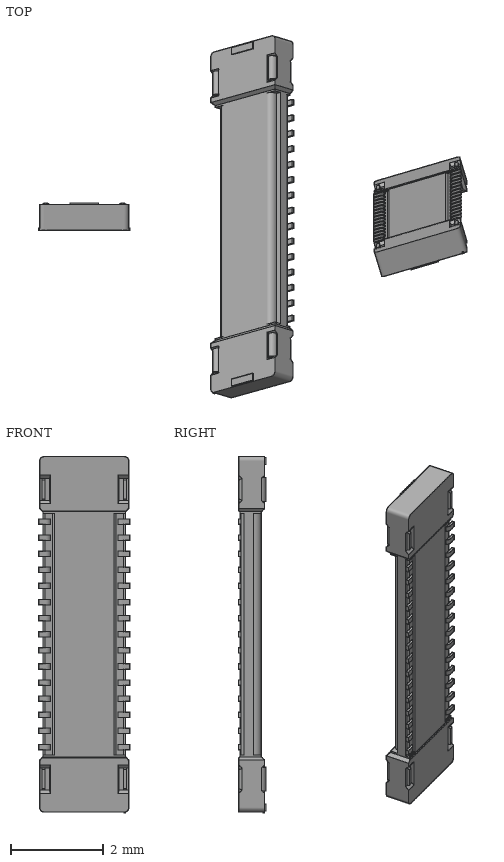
import cadquery as cq
import math


head_half_width = 0.97
head_depth = 0.565
head_length = 1.2
head_outer_z = 3.865
head_corner_radius = 0.1
head_chamfer = 0.07
head_front_chamfer = 0.02
head_inner_z = head_outer_z - head_length

bar_half_width = 0.9
bar_front_y = 0.025
bar_back_y = head_depth - head_chamfer
end_web_length = 0.04
bar_profile_half_length = head_inner_z - end_web_length
rib_half_width = 0.643
rib_flank_width = 0.043
floor_y = 0.05
floor_half_width = 0.85
ledge_y = 0.115
side_back_y = 0.327
back_half_width = 0.79
back_radius = 0.127

lead_rows = 15
lead_pitch = 0.35
lead_width = 0.12
lead_proud = 0.005
lead_tip_x = 0.99
lead_bend_x = 0.83
lead_inner_x = 0.735

pocket_depth = 0.073
pocket_length = 0.62
pocket_inner_x = 0.735
pocket_wall_draft = 0.02
pocket_from_end = 0.717
pocket_floor_length = pocket_length - 2 * pocket_depth

ridge_x = 0.888
ridge_width = 0.07
ridge_height = 0.065
ridge_taper = 0.03
clip_x = 0.835
clip_proud = 0.03
clip_length = 0.525
clip_radius = pocket_depth + clip_proud

plate_half_width = 0.315
plate_length = 0.16
plate_from_end = 0.02

nub_size = 0.04
nub_x = 0.88
nub_proud = 0.02


def box(x0, x1, y0, y1, z0, z1):
    """Axis-aligned box between opposite corners."""
    return cq.Workplane("XY").box(x1 - x0, y1 - y0, z1 - z0, centered=False).translate((x0, y0, z0))


def mirrored(shape, plane):
    """The shape together with its mirror image."""
    return shape.union(shape.mirror(plane))


def along_z(outline, half_length):
    """Extrude an XY outline evenly to both sides of z = 0."""
    return outline.extrude(half_length, both=True)


def make_head():
    """Upper head: rounded outer corners, chamfered sides, back and front towards the bar."""
    head = box(-head_half_width, head_half_width, 0, head_depth, head_inner_z, head_outer_z)
    head = head.edges("|Y and >Z").fillet(head_corner_radius)
    head = head.faces("<Z").edges("not <Y").chamfer(head_chamfer)
    return head.faces("<Z").edges("<Y").chamfer(head_front_chamfer)


def make_pocket():
    """Front pocket at +X, centred on z = 0: sloped ends, drafted inner wall, open to the side."""
    half = pocket_length / 2
    floor_half = pocket_floor_length / 2
    lengthwise = (
        cq.Workplane("YZ")
        .polyline([(0, -half), (pocket_depth, -floor_half), (pocket_depth, floor_half), (0, half)])
        .close()
        .extrude(head_half_width)
    )
    crosswise = along_z(
        cq.Workplane("XY")
        .moveTo(pocket_inner_x, 0)
        .lineTo(head_half_width, 0)
        .lineTo(head_half_width, pocket_depth)
        .lineTo(pocket_inner_x + pocket_wall_draft, pocket_depth)
        .close(),
        half,
    )
    return lengthwise.intersect(crosswise)


def make_ridge():
    """Ridge with sloped ends standing on the floor of the front pocket."""
    half = pocket_floor_length / 2
    top_half = half - ridge_taper
    top_y = pocket_depth - ridge_height
    return (
        cq.Workplane("YZ", origin=(ridge_x - ridge_width / 2, 0, 0))
        .polyline([(pocket_depth, -half), (top_y, -top_half), (top_y, top_half), (pocket_depth, half)])
        .close()
        .extrude(ridge_width)
    )


def make_clip():
    """Round clip lying along the floor of the back pocket."""
    circle = cq.Workplane("XY").center(clip_x, head_depth - pocket_depth).circle(clip_radius)
    return along_z(circle, clip_length / 2)


def make_head_with_clips():
    """Upper head with its four pockets, their clips and the raised back bar."""
    pocket_shift = (0, 0, head_outer_z - pocket_from_end)
    front_pocket = make_pocket()
    back_pocket = front_pocket.mirror("XZ").translate((0, head_depth, 0))
    pockets = mirrored(front_pocket.union(back_pocket), "YZ").translate(pocket_shift)
    clips = mirrored(make_ridge().union(make_clip()), "YZ").translate(pocket_shift)
    plate_top = head_outer_z - plate_from_end
    plate = box(
        -plate_half_width, plate_half_width,
        bar_back_y, head_depth + clip_proud,
        plate_top - plate_length, plate_top,
    )
    return make_head().cut(pockets).union(clips).union(plate)


def make_bar():
    """Stepped bar with a raised front rib and rounded back, closed by a plain web at each end."""
    arc_point = back_radius * (1 - math.sqrt(0.5))
    half_bar = along_z(
        cq.Workplane("XY")
        .moveTo(0, bar_front_y)
        .lineTo(rib_half_width, bar_front_y)
        .lineTo(rib_half_width + rib_flank_width, floor_y)
        .lineTo(floor_half_width, floor_y)
        .lineTo(floor_half_width, ledge_y)
        .lineTo(bar_half_width, ledge_y)
        .lineTo(bar_half_width, side_back_y)
        .lineTo(back_half_width, side_back_y)
        .lineTo(back_half_width, bar_back_y - back_radius)
        .threePointArc(
            (back_half_width - arc_point, bar_back_y - arc_point),
            (back_half_width - back_radius, bar_back_y),
        )
        .lineTo(0, bar_back_y)
        .close(),
        bar_profile_half_length,
    )
    web = box(
        -bar_half_width, bar_half_width, bar_front_y, bar_back_y, bar_profile_half_length, head_inner_z
    )
    return mirrored(half_bar, "YZ").union(mirrored(web, "XY"))


def make_leads():
    """Two rows of flat leads whose inner ends curve down to the bar floor."""
    lead = along_z(
        cq.Workplane("XY")
        .moveTo(lead_inner_x, floor_y)
        .lineTo(lead_tip_x, floor_y)
        .lineTo(lead_tip_x, -lead_proud)
        .lineTo(lead_bend_x, -lead_proud)
        .tangentArcPoint((lead_inner_x, floor_y), relative=False)
        .close(),
        lead_width / 2,
    )
    pair = mirrored(lead, "YZ")
    leads = cq.Workplane("XY")
    for row in range(lead_rows):
        z = (row - (lead_rows - 1) / 2) * lead_pitch
        leads = leads.add(pair.translate((0, 0, z)))
    return leads.combine()


def make_nub():
    """Nub at the back edge of the lower end face."""
    return box(
        nub_x - nub_size / 2, nub_x + nub_size / 2,
        head_depth - nub_size, head_depth,
        -head_outer_z - nub_proud, -head_outer_z + head_corner_radius,
    )


heads = mirrored(make_head_with_clips(), "XY")
result = make_bar().union(heads).union(make_leads()).union(make_nub())